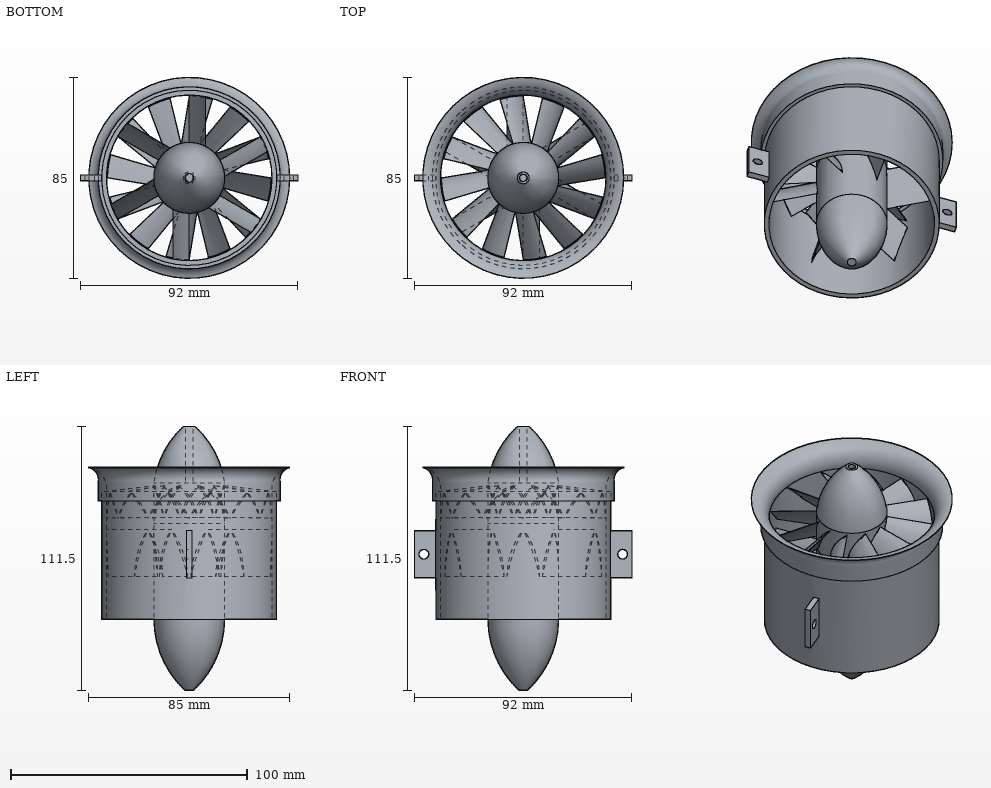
import cadquery as cq
import math


BORE_R = 70 / 2
HOUSING_R = 74 / 2
HOUSING_TOP = 54
LUG_REACH = 46
LUG_THICKNESS = 2.5
LUG_HEIGHT = 20
LUG_MID_Z = 27.5
LUG_HOLE_D = 4
LUG_HOLE_X = 42

COLLAR_R = 77 / 2
COLLAR_BOTTOM = 50
COLLAR_TOP = 58.2
LIP_R = 85 / 2
LIP_TOP = 64.3
LIP_THICKNESS = 0.25

HUB_R = 30 / 2
STATOR_HUB_TOP = 40.5
ROTOR_TOP = 57.5
SPINNER_TOP = 81.5
SPINNER_TIP_R = 5 / 2
SPINNER_BULGE = 2.45
SPINNER_HOLE_D = 3
TAIL_LENGTH = 30
TAIL_TIP_R = 3.75 / 2

BLADE_COUNT = 12
BLADE_ANGLE = 16.5
BLADE_THICKNESS = 0.8
BLADE_TRIM_R = 34.6
BLADE_ROOT_R = 14.7
BLADE_ROOT_DEPTH = 4
BLADE_ROOT_LEAD = (0, 56.5)
BLADE_ROOT_TRAIL = (7.5, 43.1)
BLADE_ROOT_CAMBER = 1.2
BLADE_TIP_LEAD = (0, 54)
BLADE_TIP_TRAIL = (10.3, 42.8)
BLADE_TIP_CAMBER = 0.6

VANE_COUNT = 6
VANE_ANGLE = 90
VANE_THICKNESS = 1
VANE_LEAD = (0, 38)
VANE_TRAIL = (-6.9, 18)
VANE_CAMBER = -1.2
VANE_ROOT_DEPTH = 3
VANE_ROOT_R = HUB_R - VANE_ROOT_DEPTH


def cylinder(radius, bottom, top):
    return cq.Workplane("XY").workplane(offset=bottom).circle(radius).extrude(top - bottom)


def arc_middle(start, end, bulge):
    """Middle point of an arc that stands off its chord by bulge, to the left from start to end."""
    run = end[0] - start[0]
    rise = end[1] - start[1]
    chord = math.hypot(run, rise)
    middle_x = (start[0] + end[0]) / 2 - bulge * rise / chord
    middle_y = (start[1] + end[1]) / 2 + bulge * run / chord
    return (middle_x, middle_y)


def revolve_profile(profile):
    """Turn a closed (radius, Z) profile about the Z axis."""
    return profile.close().revolve(360, (0, 0, 0), (0, 1, 0))


def blade_section(radius, lead, trail, camber, thickness):
    """Cambered wire on the plane X = radius: two arcs that meet in sharp lead and trail edges."""

    def arc(start, end, bulge):
        points = (start, arc_middle(start, end, bulge), end)
        return cq.Edge.makeThreePointArc(*[cq.Vector(radius, -offset, z) for offset, z in points])

    front = arc(lead, trail, camber + thickness / 2)
    back = arc(trail, lead, thickness / 2 - camber)
    return cq.Wire.assembleEdges([front, back])


def ring_of(blade, count, first_angle):
    """Copies of one blade spread evenly about the Z axis."""
    pitch = 360 / count
    return [blade.rotate((0, 0, 0), (0, 0, 1), first_angle + i * pitch) for i in range(count)]


def make_rotor():
    root = blade_section(BLADE_ROOT_R, BLADE_ROOT_LEAD, BLADE_ROOT_TRAIL, BLADE_ROOT_CAMBER, BLADE_THICKNESS)
    tip = blade_section(HOUSING_R, BLADE_TIP_LEAD, BLADE_TIP_TRAIL, BLADE_TIP_CAMBER, BLADE_THICKNESS)
    root_stub = cq.Solid.extrudeLinear(root, [], cq.Vector(-BLADE_ROOT_DEPTH, 0, 0))
    blade = cq.Workplane(cq.Solid.makeLoft([root, tip], True)).union(root_stub)
    blade = blade.intersect(cylinder(BLADE_TRIM_R, STATOR_HUB_TOP, ROTOR_TOP))
    rotor = cylinder(HUB_R, STATOR_HUB_TOP, ROTOR_TOP)
    for copy in ring_of(blade, BLADE_COUNT, BLADE_ANGLE):
        rotor = rotor.union(copy)
    return rotor


def make_housing():
    shell = cylinder(HOUSING_R, 0, HOUSING_TOP)
    lugs = cq.Workplane("XY").box(2 * LUG_REACH, LUG_THICKNESS, LUG_HEIGHT)
    lugs = lugs.translate((0, 0, LUG_MID_Z))
    lug_holes = (
        cq.Workplane("XZ")
        .pushPoints([(-LUG_HOLE_X, LUG_MID_Z), (LUG_HOLE_X, LUG_MID_Z)])
        .circle(LUG_HOLE_D / 2)
        .extrude(LUG_THICKNESS, both=True)
    )
    bore = cylinder(BORE_R, 0, HOUSING_TOP)
    housing = shell.union(lugs).cut(lug_holes).cut(bore)

    root = blade_section(VANE_ROOT_R, VANE_LEAD, VANE_TRAIL, VANE_CAMBER, VANE_THICKNESS)
    tip = blade_section(HOUSING_R, VANE_LEAD, VANE_TRAIL, VANE_CAMBER, VANE_THICKNESS)
    vane = cq.Workplane(cq.Solid.makeLoft([root, tip], True))
    vane = vane.intersect(cylinder((BORE_R + HOUSING_R) / 2, 0, HOUSING_TOP))
    stator = cylinder(HUB_R, 0, STATOR_HUB_TOP)
    for copy in ring_of(vane, VANE_COUNT, VANE_ANGLE):
        stator = stator.union(copy)
    return housing.union(stator)


def quarter_ellipse_middle(start, end):
    """Middle point of a quarter ellipse that leaves start along Z and reaches end along the radius."""
    diagonal = math.sqrt(0.5)
    radius = end[0] - (end[0] - start[0]) * diagonal
    z = start[1] + (end[1] - start[1]) * diagonal
    return (radius, z)


def make_inlet_ring():
    throat = (BORE_R, HOUSING_TOP)
    lip_inner = (LIP_R, LIP_TOP)
    lip_outer = (LIP_R, LIP_TOP - LIP_THICKNESS)
    collar_edge = (COLLAR_R, COLLAR_TOP)
    profile = (
        cq.Workplane("XZ")
        .moveTo(HOUSING_R, COLLAR_BOTTOM)
        .lineTo(HOUSING_R, HOUSING_TOP)
        .lineTo(*throat)
        .threePointArc(quarter_ellipse_middle(throat, lip_inner), lip_inner)
        .lineTo(*lip_outer)
        .threePointArc(quarter_ellipse_middle(collar_edge, lip_outer), collar_edge)
        .lineTo(COLLAR_R, COLLAR_BOTTOM)
    )
    return revolve_profile(profile)


def make_spinner():
    base = (HUB_R, ROTOR_TOP)
    tip = (SPINNER_TIP_R, SPINNER_TOP)
    hole_r = SPINNER_HOLE_D / 2
    profile = (
        cq.Workplane("XZ")
        .moveTo(hole_r, ROTOR_TOP)
        .lineTo(*base)
        .threePointArc(arc_middle(base, tip, -SPINNER_BULGE), tip)
        .lineTo(hole_r, SPINNER_TOP)
    )
    return revolve_profile(profile)


def make_tail_cone():
    shrink = HUB_R - TAIL_TIP_R
    arc_r = (shrink**2 + TAIL_LENGTH**2) / (2 * shrink)
    half_sweep = math.asin(TAIL_LENGTH / arc_r) / 2
    middle = (HUB_R - arc_r * (1 - math.cos(half_sweep)), -arc_r * math.sin(half_sweep))
    profile = (
        cq.Workplane("XZ")
        .lineTo(HUB_R, 0)
        .threePointArc(middle, (TAIL_TIP_R, -TAIL_LENGTH))
        .lineTo(0, -TAIL_LENGTH)
    )
    return revolve_profile(profile)


housing = make_housing()
inlet_ring = make_inlet_ring()
rotor = make_rotor()
spinner = make_spinner()
tail_cone = make_tail_cone()

result = cq.Compound.makeCompound(
    [housing.val(), inlet_ring.val(), rotor.val(), spinner.val(), tail_cone.val()]
)